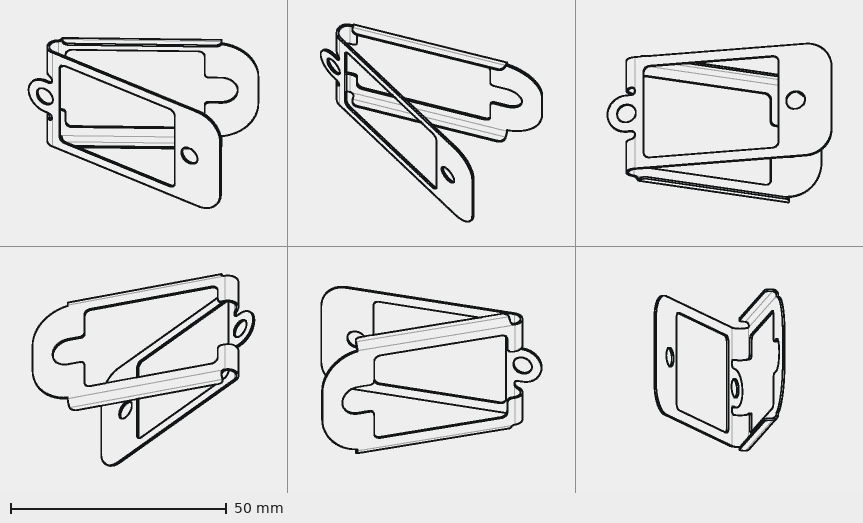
import cadquery as cq
import math

thickness = 0.5
width = 28.0

bend_x = 2.0
bend_radius = 2.5
bend_inner_radius = bend_radius - thickness
leaf_angle = 32
strip_gap = 13.05
relief_radius = 0.95

eyelet_radius = 4.5
hole_radius = 2.2
plate_length = 46.5
plate_corner_radius = 6.05
plate_hole_x = 40.0

plate_window_start = 2.0
leaf_window_start = 1.75
window_end = 33.95
window_width = 23.05
window_middle = (plate_window_start + window_end) / 2
window_radius = 1.5

leaf_length = plate_length
tongue_width = 27.65
tongue_radius = 10.0
notch_radius = 3.75
notch_center = 37.9
notch_lip_radius = 1.0

overall_width = 31.0
flange_start = 1.0
flange_end = 38.0
flange_depth = 3.0
flange_bend_radius = (overall_width - width) / 2
flange_corner_radius = flange_depth - flange_bend_radius


def block(x_start, x_end, y_start, y_end, z_size):
    """Box between the given X and Y limits, centred on Z = 0."""
    return (
        cq.Workplane("XY")
        .box(x_end - x_start, y_end - y_start, z_size, centered=(False, False, True))
        .translate((x_start, y_start, 0))
    )


def window_cutter(window_start, y_start, y_end):
    """Rounded rectangular window, with X = 0 at the bend line."""
    window = block(window_start, window_end, y_start, y_end, window_width)
    return window.edges("|Y").fillet(window_radius)


def cylinder_along_y(radius, x, y_start, y_end):
    return (
        cq.Workplane("XZ", origin=(x, y_start, 0))
        .circle(radius)
        .extrude(y_start - y_end)
    )


def make_plate():
    plate = block(bend_x, bend_x + plate_length, 0, thickness, width)
    plate = plate.edges("|Y and >X").fillet(plate_corner_radius)
    plate = plate.union(block(0, bend_x + plate_window_start / 2, 0, thickness, 2 * eyelet_radius))
    corners = cq.selectors.BoxSelector(
        (bend_x - relief_radius, -thickness, -width / 4),
        (bend_x + relief_radius, 2 * thickness, width / 4),
    )
    plate = plate.edges("|Y").edges(corners).fillet(relief_radius)
    plate = plate.union(cylinder_along_y(eyelet_radius, 0, 0, thickness))
    plate = plate.cut(window_cutter(plate_window_start, 0, thickness).translate((bend_x, 0, 0)))
    for x in (0, plate_hole_x):
        plate = plate.cut(cylinder_along_y(hole_radius, x, 0, thickness))
    return plate


def make_bend():
    """Curved strips, separated by a gap with rounded corners at the plate."""
    start = math.radians(90 + leaf_angle)
    middle = math.radians((90 + leaf_angle + 270) / 2)

    def point(radius, angle):
        return (radius * math.cos(angle), radius * math.sin(angle))

    bend = (
        cq.Workplane("XY", origin=(bend_x, bend_radius, -width / 2))
        .moveTo(0, -bend_radius)
        .threePointArc(point(bend_radius, middle), point(bend_radius, start))
        .lineTo(*point(bend_inner_radius, start))
        .threePointArc(point(bend_inner_radius, middle), (0, -bend_inner_radius))
        .close()
        .extrude(width)
    )
    gap = block(-bend_radius, bend_x, -thickness, 3 * bend_radius, strip_gap)
    return bend.cut(gap.edges("|Y and >X").fillet(relief_radius))


def make_flange():
    """Quarter-round bend and straight wall on the +Z side, with a concave fillet at the bend strip."""
    edge_z = width / 2
    outer_z = overall_width / 2
    inner_radius = flange_bend_radius - thickness
    bend_y = bend_radius - flange_bend_radius
    tip_y = bend_radius - flange_depth
    diagonal = math.sqrt(0.5)
    section = (
        cq.Workplane("YZ")
        .moveTo(bend_radius, edge_z)
        .threePointArc(
            (bend_y + flange_bend_radius * diagonal, edge_z + flange_bend_radius * diagonal),
            (bend_y, outer_z),
        )
        .lineTo(tip_y, outer_z)
        .lineTo(tip_y, outer_z - thickness)
        .lineTo(bend_y, outer_z - thickness)
        .threePointArc(
            (bend_y + inner_radius * diagonal, edge_z + inner_radius * diagonal),
            (bend_inner_radius, edge_z),
        )
        .close()
        .extrude(flange_end)
    )
    outline = block(flange_start, flange_end, tip_y, bend_radius, 2 * overall_width)
    wall = section.intersect(outline.edges("|Z and <Y").fillet(flange_corner_radius))

    root_fillet = (
        cq.Workplane("XZ", origin=(0, bend_radius, 0))
        .moveTo(0, edge_z)
        .radiusArc((flange_start, edge_z + flange_start), -flange_start)
        .lineTo(flange_start, edge_z)
        .close()
        .extrude(flange_depth)
    )
    return wall.union(section.intersect(root_fillet))


def make_leaf():
    """Leaf lying along X, with the bend axis at the origin."""
    inner = bend_inner_radius
    outer = bend_radius
    leaf = block(0, flange_end, inner, outer, width)
    tongue = block(window_middle, leaf_length, inner, outer, tongue_width)
    tongue = tongue.edges("|Y and >X").fillet(tongue_radius)
    leaf = leaf.union(tongue)

    opening = window_cutter(leaf_window_start, inner, outer)
    opening = opening.union(block(0, window_middle, inner, outer, strip_gap))
    opening = opening.union(block(window_middle, notch_center, inner, outer, 2 * notch_radius))
    lip_limit = window_width / 2 - window_radius
    lips = cq.selectors.BoxSelector(
        (leaf_window_start / 2, inner - thickness, -lip_limit),
        (window_end + thickness, outer + thickness, lip_limit),
    )
    opening = opening.edges("|Y").edges(lips).fillet(notch_lip_radius)
    opening = opening.union(cylinder_along_y(notch_radius, notch_center, inner, outer))
    leaf = leaf.cut(opening)

    flange = make_flange()
    return leaf.union(flange).union(flange.mirror("XY"))


leaf = make_leaf().rotate((0, 0, 0), (0, 0, 1), leaf_angle).translate((bend_x, bend_radius, 0))
result = make_plate().union(make_bend()).union(leaf)